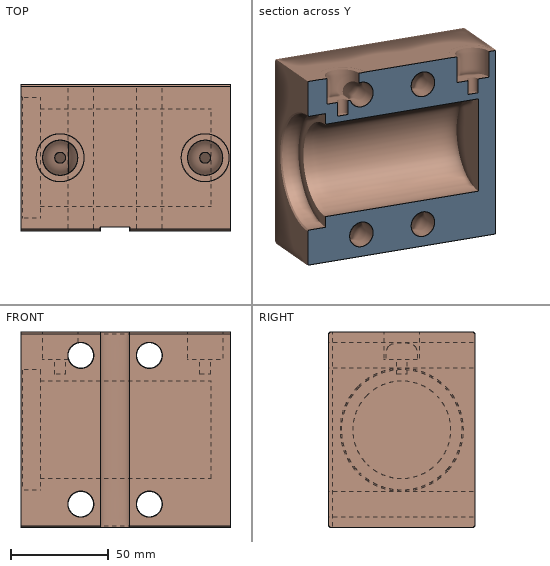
import cadquery as cq

LENGTH = 107.0
WIDTH = 75.0
HEIGHT = 100.0
EDGE_CHAMFER = 1.0

BORE_DIAMETER = 50.0
END_WALL = 10.0
BORE_DEPTH = LENGTH - END_WALL
COUNTERBORE_DIAMETER = 61.5
COUNTERBORE_DEPTH = 10.0
MOUTH_CHAMFER = 0.7

SLOT_CENTRE_X = 48.0
SLOT_WIDTH = 15.0
SLOT_DEPTH = 2.0

MOUNT_DIAMETER = 13.1
MOUNT_SPACING_X = 35.0
MOUNT_SPACING_Z = 76.0

PORT_POSITIONS_X = (20.0, 94.0)
PORT_DIAMETER = 18.0
PORT_DEPTH = 14.0
SPOTFACE_DIAMETER = 24.5
SPOTFACE_DEPTH = 0.1
PILOT_DIAMETER = 5.6
PILOT_DEPTH = 7.5

MID_Y = WIDTH / 2
MID_Z = HEIGHT / 2


def make_block():
    """Block with its four long edges chamfered."""
    block = cq.Workplane("XY").box(LENGTH, WIDTH, HEIGHT, centered=False)
    return block.edges("|X").chamfer(EDGE_CHAMFER)


def make_bore():
    """Stepped bore along X with a chamfered mouth."""
    bore_radius = BORE_DIAMETER / 2
    counterbore_radius = COUNTERBORE_DIAMETER / 2
    half_profile = (
        cq.Workplane("XY", origin=(0, MID_Y, MID_Z))
        .lineTo(0, counterbore_radius + MOUTH_CHAMFER)
        .lineTo(MOUTH_CHAMFER, counterbore_radius)
        .lineTo(COUNTERBORE_DEPTH, counterbore_radius)
        .lineTo(COUNTERBORE_DEPTH, bore_radius)
        .lineTo(BORE_DEPTH, bore_radius)
        .lineTo(BORE_DEPTH, 0)
        .close()
    )
    return half_profile.revolve(360, (0, 0, 0), (1, 0, 0))


def make_slot():
    """Key slot running the full height of the block."""
    return (
        cq.Workplane("XY")
        .center(SLOT_CENTRE_X, 0)
        .rect(SLOT_WIDTH, 2 * SLOT_DEPTH)
        .extrude(HEIGHT)
    )


def make_mounting_holes():
    """Four through holes centred on the slot."""
    return (
        cq.Workplane("XZ", origin=(SLOT_CENTRE_X, WIDTH, MID_Z))
        .rect(MOUNT_SPACING_X, MOUNT_SPACING_Z, forConstruction=True)
        .vertices()
        .circle(MOUNT_DIAMETER / 2)
        .extrude(WIDTH)
    )


def make_port(x):
    """Spotfaced port with a blind pilot hole that stops above the bore."""
    top = cq.Workplane("XY", origin=(x, MID_Y, HEIGHT))
    spotface = top.circle(SPOTFACE_DIAMETER / 2).extrude(-SPOTFACE_DEPTH)
    port = top.circle(PORT_DIAMETER / 2).extrude(-PORT_DEPTH)
    pilot = top.circle(PILOT_DIAMETER / 2).extrude(-(PORT_DEPTH + PILOT_DEPTH))
    return spotface.union(port).union(pilot)


result = make_block().cut(make_bore()).cut(make_slot()).cut(make_mounting_holes())
for port_x in PORT_POSITIONS_X:
    result = result.cut(make_port(port_x))